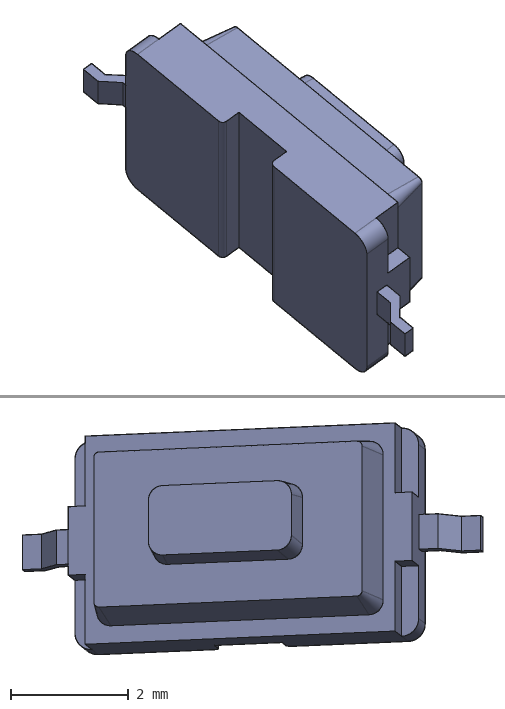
import cadquery as cq
import math

body_length = 6.0
body_height = 3.6
standoff = 0.05
base_depth = 1.0
plate_depth = 0.5
corner_radius = 0.3
end_rib_height = 1.18

slot_width = 1.18
slot_depth = 0.38
slot_edge_radius = 0.1

cover_length = 5.0
cover_height = 3.0
cover_depth = 0.9
cover_corner_radius = 0.25
cover_taper = 10.0
button_tip_length = 2.5
button_tip_height = 1.2
button_depth = 0.6
button_corner_radius = 0.25
button_taper = 5.0

terminal_span = 8.0
terminal_height = 0.6
foot_length = 0.34
foot_outer_length = 0.36
foot_thickness = 0.19
shoulder_start = 0.67
shoulder_front = 0.29
shoulder_back = 0.51
terminal_embed = 0.08

plate_back = standoff + plate_depth
base_back = standoff + base_depth
cover_back = base_back + cover_depth


def block(length, height, y_front, y_back):
    """Box centred on X and Z between two Y positions."""
    depth = y_back - y_front
    return cq.Workplane("XY").box(length, depth, height).translate((0, y_front + depth / 2, 0))


def make_base():
    plate = block(body_length, body_height, standoff, plate_back).edges("|Y").fillet(corner_radius)
    core_length = body_length - 2 * corner_radius
    core = block(core_length, body_height, standoff, base_back)
    end_rib = block(body_length, end_rib_height, standoff, base_back)
    slot = block(slot_width, body_height, standoff, standoff + slot_depth)
    base = plate.union(core).union(end_rib).cut(slot)
    mouth = cq.selectors.BoxSelector(
        (-slot_width, standoff - slot_edge_radius, -body_height),
        (slot_width, standoff + slot_edge_radius, body_height),
    )
    return base.edges("|Z").edges(mouth).fillet(slot_edge_radius)


def facing_back(y):
    """Plane at the given Y whose normal points towards the button tip."""
    return cq.Plane(origin=(0, y, 0), xDir=(1, 0, 0), normal=(0, 1, 0))


def make_cover():
    """Taper narrows the corner radius along with the outline."""
    outline = cq.Sketch().rect(cover_length, cover_height).vertices().fillet(cover_corner_radius)
    return cq.Workplane(facing_back(base_back)).placeSketch(outline).extrude(cover_depth, taper=cover_taper)


def make_button():
    """Narrows from the cover to the tip, with constant-radius corners."""
    flare = 2 * button_depth * math.tan(math.radians(button_taper))
    button = (
        cq.Workplane(facing_back(cover_back))
        .rect(button_tip_length + flare, button_tip_height + flare)
        .extrude(button_depth, taper=button_taper)
    )
    return button.edges("(not |X) and (not |Z)").fillet(button_corner_radius)


def make_terminal():
    """Terminal on the -X end, bent down to the mounting plane."""
    tip = -terminal_span / 2
    root = -body_length / 2 + terminal_embed
    profile = [
        (tip, 0),
        (tip + foot_outer_length, 0),
        (tip + shoulder_start, shoulder_front),
        (root, shoulder_front),
        (root, shoulder_back),
        (tip + shoulder_start, shoulder_back),
        (tip + foot_length, foot_thickness),
        (tip, foot_thickness),
    ]
    return cq.Workplane("XY").polyline(profile).close().extrude(terminal_height / 2, both=True)


terminal = make_terminal()
result = (
    make_base()
    .union(make_cover())
    .union(make_button())
    .union(terminal)
    .union(terminal.mirror("YZ"))
)